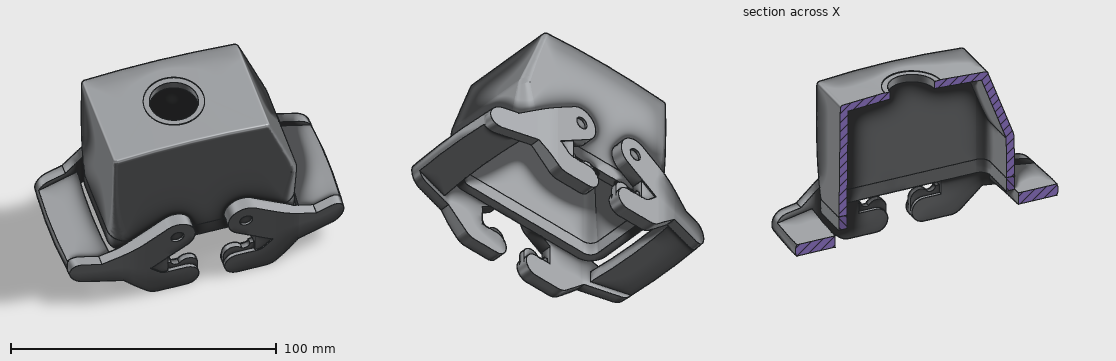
import cadquery as cq
import math

WIDTH = 42.9
END_Y = 36.7
TOTAL_H = 73.8
TOP_Z = 55.0
SKIRT_H = 5.7
WALL = 3.5
DRAFT_DEG = 0.7
KNEE_Z = 23.6
KNEE_R = 8.8
SLOPE_TOP_Y = 25.3
EAVES_Z = 53.6
CROWN_Y = -6.0
ROOF_R = 1.5
CORNER_TOP_R = 1.6
CORNER_KNEE_R = 3.2
CORNER_FOOT_R = 7.5
CORNER_GROWTH = 3.3
CORNER_STEPS = 6

ENTRY_D = 18.5
SEAT_D = 23.1
SEAT_DEPTH = 0.3

LEVER_X = 28.5
ARM_T = 5.3
PIVOT_Y = 13.5
PIVOT_Z = 10.2
BOSS_R = 7.0
PIN_D = 4.1
DIMPLE_D = 5.1
DIMPLE_DEPTH = 1.0
ARM_DEG = 31.9

GRIP_Z = -4.3
GRIP_R = 5.0
GRIP_BOTTOM_Y = 34.3
HEEL_Y = 23.5
HEEL_R = 6.6

HOOK_R = 5.0
HOOK_TIP_Y = 5.1
THROAT_Y = 17.2
POCKET_DEPTH = 0.5
POCKET_CORNER_Y = 19.5
POCKET_APEX_Z = -4.6
POCKET_R = 3.5

PLATE_INSET = 1.5
PLATE_T = 2.3
PLATE_TOP_Z = -5.6
LATCH_R = 4.0
DETENT_END_Y = 15.5
DETENT_MID = (13.6, -7.6)
DETENT_END_Z = -5.9
DETENT_START_DEG = 33.0

BEND_START_Y = 25.4
BEND_R = 36.3
BEND_DEG = 15.0
INNER_BEND_Y = 34.4
INNER_BEND_R = 8.8

REACH_Y = 55.0
BOW_R = 242.0
BAR_WIDTH = 16.8
BAR_T = 5.1

draft = math.tan(math.radians(DRAFT_DEG))
bottom_edge_z = TOP_Z - TOTAL_H
hook_z = bottom_edge_z + HOOK_R
hook_top_z = bottom_edge_z + 2 * HOOK_R
arm_sin = math.sin(math.radians(ARM_DEG))
arm_cos = math.cos(math.radians(ARM_DEG))
arm_slope = arm_sin / arm_cos
inner_x = LEVER_X - ARM_T
past_end_y = REACH_Y + 2.2


def end_y(z):
    """Distance of the drafted end walls from the middle plane at height z."""
    return END_Y - draft * (z - SKIRT_H)


def sloped_end_y(z):
    """Position of the +Y wall, which leans inwards above the knee."""
    if z <= KNEE_Z:
        return end_y(z)
    share = (z - KNEE_Z) / (EAVES_Z - KNEE_Z)
    return end_y(KNEE_Z) + share * (SLOPE_TOP_Y - end_y(KNEE_Z))


def side_outline(bottom_z):
    """Side outline of the housing, closed at bottom_z, in the YZ plane."""
    return (
        cq.Workplane("YZ")
        .moveTo(-end_y(bottom_z), bottom_z)
        .lineTo(end_y(bottom_z), bottom_z)
        .lineTo(end_y(KNEE_Z), KNEE_Z)
        .lineTo(SLOPE_TOP_Y, EAVES_Z)
        .threePointArc((CROWN_Y, TOP_Z), (-end_y(EAVES_Z), EAVES_Z))
        .close()
    )


def corner_radius(z):
    """Corner radius along the -Y wall, growing ever faster towards the foot."""
    depth = max(EAVES_Z - z, 0) / (EAVES_Z - SKIRT_H)
    return CORNER_TOP_R + (CORNER_FOOT_R - CORNER_TOP_R) * depth ** CORNER_GROWTH


def sloped_corner_radius(z):
    """Corner radius along the +Y wall, which grows gently down to the knee and evenly below it."""
    if z <= KNEE_Z:
        return CORNER_KNEE_R + (CORNER_FOOT_R - CORNER_KNEE_R) * (KNEE_Z - z) / (KNEE_Z - SKIRT_H)
    depth = max(EAVES_Z - z, 0) / (EAVES_Z - KNEE_Z)
    return CORNER_TOP_R + (CORNER_KNEE_R - CORNER_TOP_R) * depth ** 2


def corner_cutter(wall_y, radius, z_from, z_to):
    """Removes the +X, +Y upright corner outside its growing radius, between two heights."""
    margin = 1.1
    half = WIDTH / 2
    wires = []
    for i in range(CORNER_STEPS):
        z = z_from + (z_to - z_from) * i / (CORNER_STEPS - 1)
        r = radius(z)
        y = wall_y(z)
        bulge = r * (1 - math.sqrt(0.5))
        wires.append(
            cq.Workplane("XY", origin=(0, 0, z))
            .moveTo(half - r, y)
            .threePointArc((half - bulge, y - bulge), (half, y - r))
            .lineTo(half + margin, y - r)
            .lineTo(half + margin, y + margin)
            .lineTo(half - r, y + margin)
            .close()
            .val()
        )
    return cq.Workplane(cq.Solid.makeLoft(wires))


def make_cavity():
    """Inside of the housing: the side outline offset by the wall, open at the foot."""
    inside = side_outline(SKIRT_H - 2 * WALL).offset2D(-WALL, "arc")
    cavity = inside.extrude(WIDTH / 2 - WALL, both=True)
    return cavity.intersect(inner_column(TOP_Z))


def inner_column(height):
    """Upright column that fills the inside of the skirt and bounds the cavity above it."""
    return (
        cq.Workplane("XY")
        .rect(WIDTH - 2 * WALL, 2 * (END_Y - WALL))
        .extrude(height)
        .edges("|Z")
        .fillet(CORNER_FOOT_R - WALL)
    )


def make_housing():
    """Hollow hood with tapered ends, growing corner radii, an arched roof and a cable entry."""
    body = side_outline(SKIRT_H).extrude(WIDTH / 2, both=True)
    above = TOP_Z + 1.1
    plain = corner_cutter(end_y, corner_radius, SKIRT_H, above).mirror("XZ")
    lower = corner_cutter(sloped_end_y, sloped_corner_radius, SKIRT_H, KNEE_Z)
    upper = corner_cutter(sloped_end_y, sloped_corner_radius, KNEE_Z, above)
    for cutter in (plain, lower, upper):
        body = body.cut(cutter).cut(cutter.mirror("YZ"))
    margin = 0.1
    knee = cq.selectors.BoxSelector(
        (-WIDTH, 0, KNEE_Z - margin),
        (WIDTH, 2 * END_Y, KNEE_Z + margin),
    )
    body = body.edges(knee).fillet(KNEE_R)
    body = body.faces(">Z").edges().fillet(ROOF_R)
    body = body.cut(make_cavity())
    entry = cq.Workplane("XY", origin=(0, CROWN_Y, TOP_Z - 2 * WALL)).circle(ENTRY_D / 2)
    seat = cq.Workplane("XY", origin=(0, CROWN_Y, TOP_Z - SEAT_DEPTH)).circle(SEAT_D / 2)
    return body.cut(entry.extrude(3 * WALL)).cut(seat.extrude(WALL))


def under_arm_z(y):
    """Height of the arm's lower edge, tangent to the boss."""
    return PIVOT_Z - BOSS_R / arm_cos - (y - PIVOT_Y) * arm_slope


def lever_side():
    """Side outline of both arms, right across X."""
    grip_top = GRIP_Z + GRIP_R
    grip_bottom = GRIP_Z - GRIP_R
    grip_top_y = PIVOT_Y + (PIVOT_Z + BOSS_R / arm_cos - grip_top) / arm_slope
    hook_y = HOOK_TIP_Y + HOOK_R
    blank = (
        cq.Workplane("YZ")
        .moveTo(PIVOT_Y + BOSS_R * arm_sin, PIVOT_Z + BOSS_R * arm_cos)
        .lineTo(grip_top_y, grip_top)
        .lineTo(past_end_y, grip_top)
        .lineTo(past_end_y, grip_bottom)
        .lineTo(GRIP_BOTTOM_Y, grip_bottom)
        .lineTo(HEEL_Y, bottom_edge_z)
        .lineTo(hook_y, bottom_edge_z)
        .threePointArc((HOOK_TIP_Y, hook_z), (hook_y, hook_top_z))
        .lineTo(THROAT_Y, hook_top_z)
        .lineTo(THROAT_Y, under_arm_z(THROAT_Y))
        .lineTo(PIVOT_Y - BOSS_R * arm_sin, PIVOT_Z - BOSS_R * arm_cos)
        .threePointArc(
            (PIVOT_Y - BOSS_R * arm_cos, PIVOT_Z + BOSS_R * arm_sin),
            (PIVOT_Y + BOSS_R * arm_sin, PIVOT_Z + BOSS_R * arm_cos),
        )
        .close()
        .extrude(LEVER_X, both=True)
    )
    return blank.edges(cq.selectors.NearestToPointSelector((0, HEEL_Y, bottom_edge_z))).fillet(HEEL_R)


def inner_face_x(y):
    """Slanted inner face of the grip arms."""
    return inner_x - (y - INNER_BEND_Y) * math.tan(math.radians(BEND_DEG))


def arm_plan():
    """Plan of the +X arm, straight beside the housing and bent inwards towards the grip."""
    bend = math.radians(BEND_DEG)
    centre_x = LEVER_X - BEND_R
    bend_end_x = centre_x + BEND_R * math.cos(bend)
    bend_end_y = BEND_START_Y + BEND_R * math.sin(bend)
    outer_end_x = bend_end_x - (past_end_y - bend_end_y) * math.tan(bend)
    bend_mid = (centre_x + BEND_R * math.cos(bend / 2), BEND_START_Y + BEND_R * math.sin(bend / 2))
    plan = (
        cq.Workplane("XY", origin=(0, 0, bottom_edge_z))
        .moveTo(LEVER_X, 0)
        .lineTo(LEVER_X, BEND_START_Y)
        .threePointArc(bend_mid, (bend_end_x, bend_end_y))
        .lineTo(outer_end_x, past_end_y)
        .lineTo(inner_face_x(past_end_y), past_end_y)
        .lineTo(inner_x, INNER_BEND_Y)
        .lineTo(inner_x, 0)
        .close()
        .extrude(TOP_Z)
    )
    bend_edge = cq.selectors.NearestToPointSelector((inner_x, INNER_BEND_Y, 0))
    return plan.edges(bend_edge).fillet(INNER_BEND_R)


def pocket():
    """Wedge-shaped recess in the outer face of the +X arm, behind the hook opening."""
    apex_y = PIVOT_Y + (PIVOT_Z - BOSS_R / arm_cos - POCKET_APEX_Z) / arm_slope
    wedge = (
        cq.Workplane("YZ", origin=(LEVER_X, 0, 0))
        .moveTo(THROAT_Y, under_arm_z(THROAT_Y))
        .lineTo(apex_y, POCKET_APEX_Z)
        .lineTo(POCKET_CORNER_Y, hook_top_z)
        .lineTo(THROAT_Y, hook_top_z)
        .close()
        .extrude(-POCKET_DEPTH)
    )
    corner = cq.selectors.NearestToPointSelector((LEVER_X, POCKET_CORNER_Y, hook_top_z))
    return wedge.edges(corner).fillet(POCKET_R)


def latch_plate():
    """Plate in the middle of the +X hook: a rounded nose, a detent and a flat stop."""
    nose_y = HOOK_TIP_Y + LATCH_R
    nose_z = PLATE_TOP_Z - LATCH_R
    start = math.radians(DETENT_START_DEG)
    detent_start = (nose_y + LATCH_R * math.cos(start), nose_z + LATCH_R * math.sin(start))
    return (
        cq.Workplane("YZ", origin=(LEVER_X - PLATE_INSET - PLATE_T, 0, 0))
        .moveTo(HOOK_TIP_Y, hook_z)
        .lineTo(HOOK_TIP_Y, nose_z)
        .threePointArc((nose_y, PLATE_TOP_Z), detent_start)
        .threePointArc(DETENT_MID, (DETENT_END_Y, DETENT_END_Z))
        .lineTo(DETENT_END_Y, PLATE_TOP_Z)
        .lineTo(THROAT_Y, PLATE_TOP_Z)
        .lineTo(THROAT_Y, hook_z)
        .close()
        .extrude(PLATE_T)
    )


def nose_cutter():
    """Everything outside the rounded, bowed end of the grip."""
    nose_y = REACH_Y - GRIP_R
    depth = past_end_y + 1.1
    sweep_deg = 20.0
    profile = (
        cq.Workplane("YZ")
        .moveTo(nose_y, GRIP_Z + GRIP_R)
        .threePointArc((REACH_Y, GRIP_Z), (nose_y, GRIP_Z - GRIP_R))
        .lineTo(nose_y, GRIP_Z - 2 * GRIP_R)
        .lineTo(depth, GRIP_Z - 2 * GRIP_R)
        .lineTo(depth, GRIP_Z + 2 * GRIP_R)
        .lineTo(nose_y, GRIP_Z + 2 * GRIP_R)
        .close()
    )
    axis_y = REACH_Y - BOW_R
    ring = profile.revolve(sweep_deg, (axis_y, 0, 0), (axis_y, 1, 0))
    return ring.rotate((0, axis_y, 0), (0, axis_y, 1), -sweep_deg / 2)


def handle_bar():
    """Bowed bar between the grip arms, reaching into their slanted inner faces."""
    overlap = 1.1
    root_y = REACH_Y - BAR_WIDTH - 2 * overlap
    plan = (
        cq.Workplane("XY", origin=(0, 0, GRIP_Z - BAR_T / 2))
        .moveTo(-inner_face_x(root_y) - overlap, root_y)
        .lineTo(inner_face_x(root_y) + overlap, root_y)
        .lineTo(inner_face_x(past_end_y) + overlap, past_end_y)
        .lineTo(-inner_face_x(past_end_y) - overlap, past_end_y)
        .close()
        .extrude(BAR_T)
    )
    back = cq.Workplane("XY", origin=(0, REACH_Y - BOW_R, GRIP_Z - BAR_T))
    return plan.cut(back.circle(BOW_R - BAR_WIDTH).extrude(2 * BAR_T))


def make_lever():
    """Both arms of the +Y lever with the handle bar between them."""
    dimple = cq.Workplane("YZ", origin=(LEVER_X, PIVOT_Y, PIVOT_Z)).circle(DIMPLE_D / 2)
    arm = lever_side().intersect(arm_plan())
    arm = arm.union(latch_plate()).cut(pocket()).cut(dimple.extrude(-DIMPLE_DEPTH))
    lever = arm.union(arm.mirror("YZ")).union(handle_bar())
    return lever.cut(nose_cutter())


def make_pin():
    """Stub pin that joins the +X, +Y arm to the housing wall."""
    root_x = WIDTH / 2 - WALL / 2
    tip_x = inner_x + ARM_T / 2
    pin = cq.Workplane("YZ", origin=(root_x, PIVOT_Y, PIVOT_Z)).circle(PIN_D / 2)
    return pin.extrude(tip_x - root_x)


def make_hood():
    """Housing with its pins and both levers, in one piece."""
    pin = make_pin()
    pinned_lever = make_lever().union(pin).union(pin.mirror("YZ"))
    return make_housing().union(pinned_lever).union(pinned_lever.mirror("XZ"))


def make_skirt():
    """Rounded rectangular rim that closes the housing at its foot."""
    outside = cq.Workplane("XY").rect(WIDTH, 2 * END_Y).extrude(SKIRT_H)
    outside = outside.edges("|Z").fillet(CORNER_FOOT_R)
    return outside.cut(inner_column(SKIRT_H))


hood = make_hood()
skirt = make_skirt()

result = cq.Compound.makeCompound([hood.val(), skirt.val()])